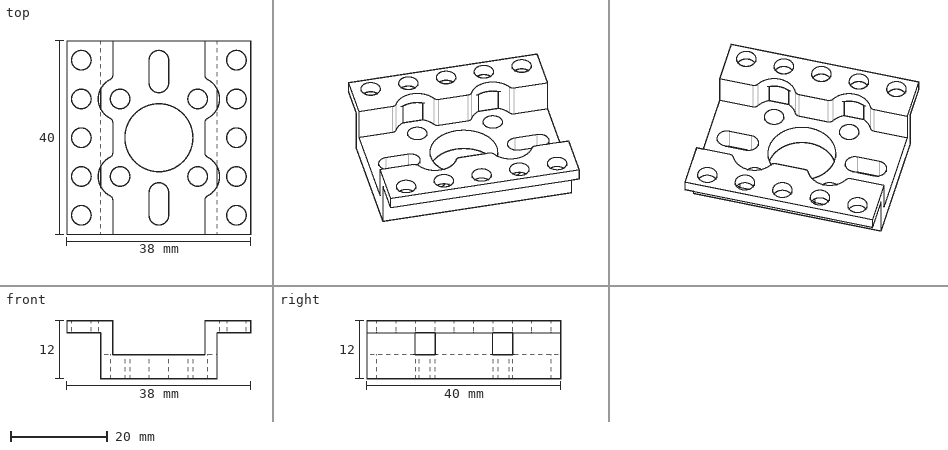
import cadquery as cq

LENGTH = 40.0
FLANGE_SPAN = 38.0
HEIGHT = 12.0
BODY_WIDTH = 24.0
FLANGE_THICKNESS = 2.5
WALL_THICKNESS = 2.5
FLOOR_THICKNESS = 5.0
CHANNEL_WIDTH = BODY_WIDTH - 2 * WALL_THICKNESS

GRID_PITCH = 8.0
HOLE_DIAMETER = 4.0
FLANGE_HOLES_PER_SIDE = 5
BORE_DIAMETER = 14.0

SLOT_WIDTH = 4.0
SLOT_OUTER_END = 18.0
SLOT_INNER_END = 9.31

CLEARANCE_RADIUS = 4.5
CLEARANCE_EDGE_RADIUS = 1.0

FLOOR_HOLE_POINTS = [(x, y) for x in (-GRID_PITCH, GRID_PITCH) for y in (-GRID_PITCH, GRID_PITCH)]


def make_channel():
    """Hat section standing on Z = 0, centred on X and Y."""
    flange_x = FLANGE_SPAN / 2
    body_x = BODY_WIDTH / 2
    channel_x = CHANNEL_WIDTH / 2
    flange_z = HEIGHT - FLANGE_THICKNESS
    right_half = [
        (body_x, 0),
        (body_x, flange_z),
        (flange_x, flange_z),
        (flange_x, HEIGHT),
        (channel_x, HEIGHT),
        (channel_x, FLOOR_THICKNESS),
    ]
    left_half = [(-x, z) for x, z in reversed(right_half)]
    outline = cq.Workplane("XZ").polyline(right_half + left_half).close()
    return outline.extrude(LENGTH / 2, both=True)


def make_clearances():
    """Cylinders above the floor, around the floor holes."""
    floor_top = cq.Workplane("XY").workplane(offset=FLOOR_THICKNESS)
    return floor_top.pushPoints(FLOOR_HOLE_POINTS).circle(CLEARANCE_RADIUS).extrude(HEIGHT - FLOOR_THICKNESS)


def round_clearance_edges(body):
    """Round the upright edges where the clearances meet the channel walls."""
    channel_x = CHANNEL_WIDTH / 2
    margin = 0.1
    wall_band = cq.selectors.BoxSelector(
        (-channel_x - margin, -LENGTH / 2 + margin, FLOOR_THICKNESS - margin),
        (channel_x + margin, LENGTH / 2 - margin, HEIGHT + margin),
    )
    return body.edges("|Z").edges(wall_band).fillet(CLEARANCE_EDGE_RADIUS)


def make_holes():
    """Through holes in the floor and along both flanges, plus the central bore."""
    middle = (FLANGE_HOLES_PER_SIDE - 1) / 2
    flange_hole_x = 2 * GRID_PITCH
    points = list(FLOOR_HOLE_POINTS)
    for index in range(FLANGE_HOLES_PER_SIDE):
        y = (index - middle) * GRID_PITCH
        points += [(-flange_hole_x, y), (flange_hole_x, y)]
    holes = cq.Workplane("XY").pushPoints(points).circle(HOLE_DIAMETER / 2).extrude(HEIGHT)
    bore = cq.Workplane("XY").circle(BORE_DIAMETER / 2).extrude(HEIGHT)
    return holes.union(bore)


def make_slots():
    """Two lengthwise slots through the floor, one on each side of the bore."""
    slot_y = (SLOT_OUTER_END + SLOT_INNER_END) / 2
    slot_length = SLOT_OUTER_END - SLOT_INNER_END
    points = [(0, -slot_y), (0, slot_y)]
    return cq.Workplane("XY").pushPoints(points).slot2D(slot_length, SLOT_WIDTH, 90).extrude(FLOOR_THICKNESS)


body = make_channel().cut(make_clearances())
body = round_clearance_edges(body)
result = body.cut(make_holes()).cut(make_slots())